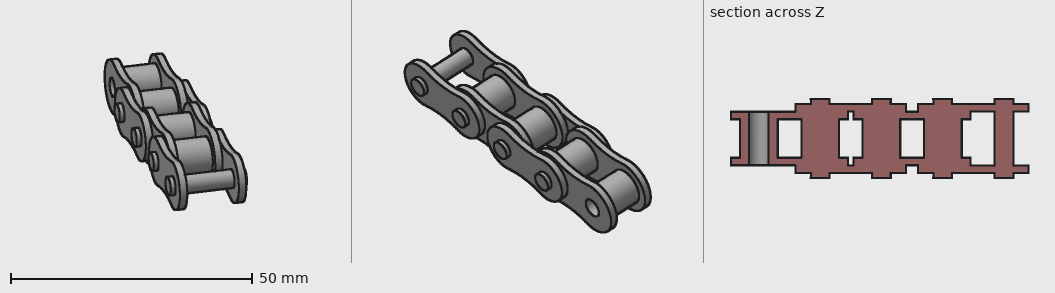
import cadquery as cq
import math

LENGTH = 61.7
PIN_LENGTH = 16.4

INNER_END_RADIUS = 5.8
OUTER_END_RADIUS = 5.1
INNER_WAIST_HALF = 4.95
OUTER_WAIST_HALF = 4.25
PLATE_THICKNESS = 1.6

ROLLER_DIAMETER = 7.9
PIN_DIAMETER = 3.95
BORE_DIAMETER = 4.0

ROLLER_LENGTH = 7.9
INNER_PLATE_Y = ROLLER_LENGTH / 2
OUTER_PLATE_Y = INNER_PLATE_Y + PLATE_THICKNESS

PITCH_COUNT = 4
PITCH = (LENGTH - INNER_END_RADIUS - OUTER_END_RADIUS) / PITCH_COUNT
FIRST_JOINT_X = INNER_END_RADIUS - LENGTH / 2
JOINT_X = [FIRST_JOINT_X + i * PITCH for i in range(PITCH_COUNT + 1)]


def cylinder(x, diameter, length):
    """Cylinder along Y, centred on the middle plane at a joint."""
    return (
        cq.Workplane("XZ", origin=(x, length / 2, 0))
        .circle(diameter / 2)
        .extrude(length)
    )


def link_plate(start_x, near_y, end_radius, waist_half):
    """Waisted plate spanning one pitch; the waist arcs are tangent to the end arcs."""
    half_pitch = PITCH / 2
    waist_radius = (half_pitch**2 + waist_half**2 - end_radius**2) / (2 * (end_radius - waist_half))
    tangent_angle = math.asin(half_pitch / (end_radius + waist_radius))
    tangent_x = half_pitch - end_radius * math.sin(tangent_angle)
    tangent_z = end_radius * math.cos(tangent_angle)
    tip_x = half_pitch + end_radius
    return (
        cq.Workplane("XZ", origin=(start_x + half_pitch, near_y + PLATE_THICKNESS, 0))
        .moveTo(-tangent_x, tangent_z)
        .threePointArc((0, waist_half), (tangent_x, tangent_z))
        .threePointArc((tip_x, 0), (tangent_x, -tangent_z))
        .threePointArc((0, -waist_half), (-tangent_x, -tangent_z))
        .threePointArc((-tip_x, 0), (-tangent_x, tangent_z))
        .close()
        .extrude(PLATE_THICKNESS)
    )


def plate_pair(start_x, near_y, end_radius, waist_half):
    """Two matching plates, one on each side of the middle plane."""
    plate = link_plate(start_x, near_y, end_radius, waist_half)
    return plate.union(plate.mirror("XZ"))


result = cylinder(JOINT_X[0], ROLLER_DIAMETER, ROLLER_LENGTH)
for joint_x in JOINT_X[1:-1]:
    result = result.union(cylinder(joint_x, ROLLER_DIAMETER, ROLLER_LENGTH))

for index, joint_x in enumerate(JOINT_X[:-1]):
    if index % 2 == 0:
        link = plate_pair(joint_x, INNER_PLATE_Y, INNER_END_RADIUS, INNER_WAIST_HALF)
    else:
        link = plate_pair(joint_x, OUTER_PLATE_Y, OUTER_END_RADIUS, OUTER_WAIST_HALF)
    result = result.union(link)

for joint_x in JOINT_X[1:]:
    result = result.union(cylinder(joint_x, PIN_DIAMETER, PIN_LENGTH))
result = result.cut(cylinder(JOINT_X[0], BORE_DIAMETER, PIN_LENGTH))